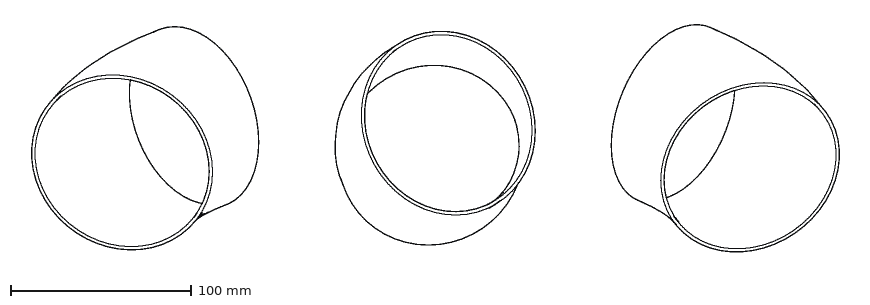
import cadquery as cq

outer_diameter = 104.0
wall = 2.0
bend_radius = 149.9
bend_angle = 30.0

inner_diameter = outer_diameter - 2 * wall

pipe_section = (
    cq.Workplane("XZ")
    .circle(outer_diameter / 2)
    .circle(inner_diameter / 2)
)

result = pipe_section.revolve(bend_angle, (bend_radius, 1.2, 0), (bend_radius, 0, 0))